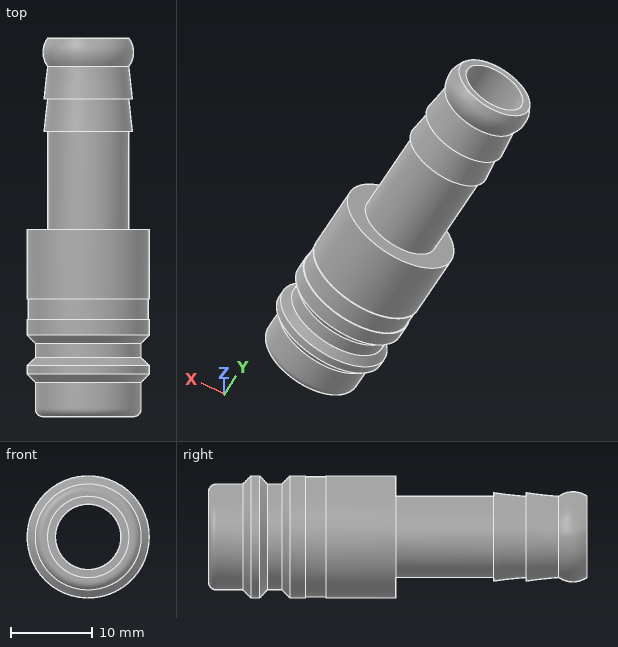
import cadquery as cq

total_length = 46.5

body_radius = 7.51
plug_radius = 6.5
groove_radius = 7.4
stem_radius = 5.0
barb_radius = 5.45
bead_radius = 5.6
plug_bore_radius = stem_radius
stem_bore_radius = 4.0

plug_fillet = 0.98
chamfer = body_radius - plug_radius
collar_start = 4.25
collar_land = 1.05
neck_length = 1.75
body_start = 9.0
groove_start = 11.95
groove_end = 14.45
body_end = 23.0

bead_length = 3.5
barb_length = 4.0
barb_count = 2

plug_bore_depth = body_end - (stem_radius - stem_bore_radius)

collar_land_start = collar_start + chamfer
collar_land_end = collar_land_start + collar_land
neck_start = body_start - neck_length
bead_start = total_length - bead_length
barbs_start = bead_start - barb_count * barb_length


def make_outside():
    """Revolve the solid outer outline; sketch x is the radius and y the axis."""
    outline = (
        cq.Workplane("XY")
        .lineTo(plug_radius, 0)
        .lineTo(plug_radius, collar_start)
        .lineTo(body_radius, collar_land_start)
        .lineTo(body_radius, collar_land_end)
        .lineTo(plug_radius, neck_start)
        .lineTo(plug_radius, body_start)
        .lineTo(body_radius, body_start + chamfer)
        .lineTo(body_radius, groove_start)
        .lineTo(groove_radius, groove_start)
        .lineTo(groove_radius, groove_end)
        .lineTo(body_radius, groove_end)
        .lineTo(body_radius, body_end)
        .lineTo(stem_radius, body_end)
        .lineTo(stem_radius, barbs_start)
    )
    for index in range(barb_count):
        barb_start = barbs_start + index * barb_length
        outline = outline.lineTo(barb_radius, barb_start)
        outline = outline.lineTo(stem_radius, barb_start + barb_length)
    outline = outline.threePointArc(
        (bead_radius, bead_start + bead_length / 2), (stem_radius, total_length)
    )
    solid = outline.lineTo(0, total_length).close().revolve(360, (0, 0, 0), (0, 1, 0))
    return solid.faces("<Y").edges().fillet(plug_fillet)


def make_bore(radius, depth):
    """Cylinder running from the plug end along +Y."""
    return cq.Workplane("XZ").circle(radius).extrude(-depth)


result = (
    make_outside()
    .cut(make_bore(plug_bore_radius, plug_bore_depth))
    .cut(make_bore(stem_bore_radius, total_length))
)